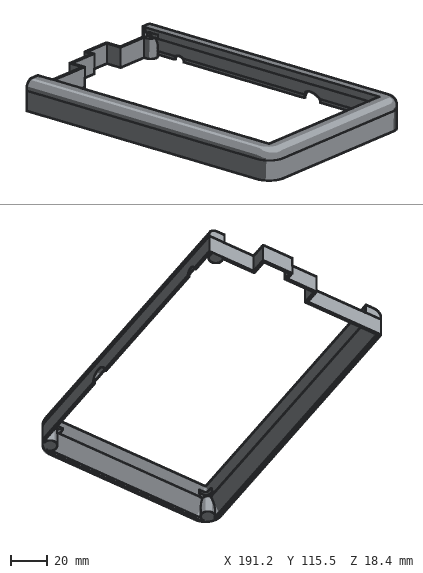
import cadquery as cq
import math

LENGTH = 191.2
WIDTH = 115.5
HEIGHT = 18.4
HALF_LENGTH = LENGTH / 2
HALF_WIDTH = WIDTH / 2

WALL = 1.1
JOINT_Z = 12.0
RIM = 10.0
CORNER_R = 10.1
EDGE_R = 5.0
SLOPE_Z = 2.1

STEP_BACK_X = -85.6
STEP_OUTER_X = -HALF_LENGTH
STEP_MIDDLE_X = -90.6
STEP_FRONT_X = -81.5
STEP_Y = (28.7, 9.5, -9.5)

POST_R = 4.0
POST_INSET = 6.0
END_POST_X = -83.0
POST_X = HALF_LENGTH - POST_INSET
POST_Y = HALF_WIDTH - POST_INSET
POST_CENTRES = ((POST_X, POST_Y), (POST_X, -POST_Y), (END_POST_X, POST_Y))

POCKET_R = 3.6
POCKET_TOP_Z = 15.3
POCKET_SHIFT = 3.8

NOTCHES = ((29.8, 5.7), (-66.3, 3.2))


def outline(inset):
    """Plan outline of the frame, moved inward by inset."""
    right = HALF_LENGTH - inset
    side = HALF_WIDTH - inset
    arc_x = HALF_LENGTH - CORNER_R
    arc_y = HALF_WIDTH - CORNER_R
    radius = CORNER_R - inset
    upper_y, middle_y, lower_y = STEP_Y
    return (
        cq.Workplane("XY")
        .moveTo(STEP_BACK_X + inset, side)
        .lineTo(arc_x, side)
        .radiusArc((right, arc_y), radius)
        .lineTo(right, -arc_y)
        .radiusArc((arc_x, -side), radius)
        .lineTo(STEP_FRONT_X + inset, -side)
        .lineTo(STEP_FRONT_X + inset, lower_y + inset)
        .lineTo(STEP_MIDDLE_X + inset, lower_y + inset)
        .lineTo(STEP_MIDDLE_X + inset, middle_y + inset)
        .lineTo(STEP_OUTER_X + inset, middle_y + inset)
        .lineTo(STEP_OUTER_X + inset, upper_y - inset)
        .lineTo(STEP_BACK_X + inset, upper_y - inset)
        .close()
    )


def slab(bottom, top, right, half_width):
    """Block that reaches past the -X end and stops at X = right."""
    length = 2 * LENGTH
    return (
        cq.Workplane("XY", origin=(right - length / 2, 0, bottom))
        .box(length, 2 * half_width, top - bottom, centered=(True, True, False))
    )


def rounded_slot():
    """Plan of the space between the walls, running out past the -X end."""
    far = -LENGTH
    right = HALF_LENGTH - WALL
    side = HALF_WIDTH - WALL
    radius = CORNER_R - WALL
    return (
        cq.Workplane("XY", origin=(0, 0, SLOPE_Z))
        .moveTo(far, side)
        .lineTo(right - radius, side)
        .radiusArc((right, side - radius), radius)
        .lineTo(right, radius - side)
        .radiusArc((right - radius, -side), radius)
        .lineTo(far, -side)
        .close()
    )


def cavity():
    """Inner space: upright walls up to SLOPE_Z, then closing in to the window."""
    slope_height = HEIGHT - SLOPE_Z
    slope_angle = math.degrees(math.atan2(RIM - WALL, slope_height))
    upright = rounded_slot().extrude(-SLOPE_Z)
    sloped = rounded_slot().extrude(slope_height, taper=slope_angle)
    return upright.union(sloped).intersect(outline(WALL).extrude(HEIGHT))


def rounded_block():
    """Full-height block with the outer top edge rounded along three sides."""
    block = outline(0).extrude(HEIGHT)
    window_x = HALF_LENGTH - RIM
    window_y = HALF_WIDTH - RIM
    rim_edges = []
    for edge in block.faces(">Z").edges().vals():
        middle = edge.Center()
        on_long_side = middle.x > STEP_FRONT_X and abs(middle.y) > window_y
        if on_long_side or middle.x > window_x:
            rim_edges.append(edge)
    return block.newObject(rim_edges).fillet(EDGE_R)


def shell():
    """Hollow frame, open on the -X side above the joint."""
    window = slab(JOINT_Z, HEIGHT, HALF_LENGTH - RIM, HALF_WIDTH - RIM)
    return rounded_block().cut(cavity()).cut(window)


def make_base(frame, below_joint):
    base = frame.intersect(below_joint)
    plan = outline(0).extrude(JOINT_Z)
    for x, y in POST_CENTRES:
        post = cq.Workplane("XY").center(x, y).circle(POST_R).extrude(JOINT_Z)
        base = base.union(post.intersect(plan))
    for x, radius in NOTCHES:
        notch = cq.Workplane("XZ").center(x, 0).circle(radius).extrude(-WIDTH)
        base = base.cut(notch)
    return base


def make_bezel(frame, below_joint):
    bezel = frame.cut(below_joint)
    for x, y in POST_CENTRES:
        pocket_x = x - math.copysign(POCKET_SHIFT, x)
        pocket_y = y - math.copysign(POCKET_SHIFT, y)
        pocket = (
            cq.Workplane("XY", origin=(pocket_x, pocket_y, JOINT_Z))
            .circle(POCKET_R)
            .extrude(POCKET_TOP_Z - JOINT_Z)
        )
        bezel = bezel.cut(pocket)
    return bezel


frame = shell()
below_joint = slab(0, JOINT_Z, LENGTH, WIDTH)
base = make_base(frame, below_joint)
bezel = make_bezel(frame, below_joint)

result = cq.Compound.makeCompound([base.solids().val(), bezel.solids().val()])